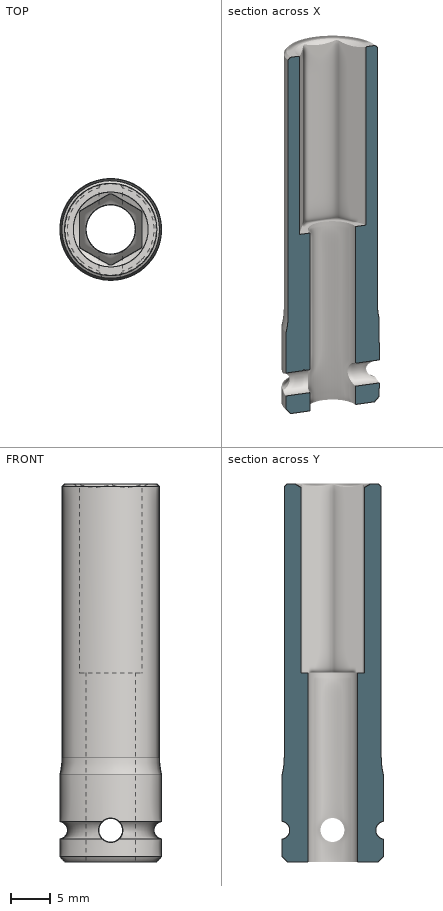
import cadquery as cq
import math

length = 48.0
base_radius = 6.455
barrel_radius = 6.2
base_top = 11.1
barrel_bottom = 13.3
bottom_chamfer = 0.65
top_chamfer = 0.35

groove_height = 4.05
groove_half_width = 1.1
groove_depth = 0.95
pin_hole_diameter = 3.0

bore_diameter = 6.25
hex_across_flats = 7.95
hex_corner_radius = 0.5
hex_depth = 24.0
lead_in_radius = 4.75
lead_in_angle = 30.0


def make_body():
    """Turned outside: base with a retaining groove, concave neck and barrel."""
    neck_height = barrel_bottom - base_top
    neck_step = base_radius - barrel_radius
    neck_arc_radius = (neck_height**2 + neck_step**2) / (2 * neck_step)
    half_angle = math.asin(neck_height / neck_arc_radius) / 2
    neck_middle = (
        barrel_radius + neck_arc_radius * (1 - math.cos(half_angle)),
        barrel_bottom - neck_arc_radius * math.sin(half_angle),
    )
    profile = (
        cq.Workplane("XZ")
        .lineTo(base_radius - bottom_chamfer, 0)
        .lineTo(base_radius, bottom_chamfer)
        .lineTo(base_radius, groove_height - groove_half_width)
        .threePointArc(
            (base_radius - groove_depth, groove_height),
            (base_radius, groove_height + groove_half_width),
        )
        .lineTo(base_radius, base_top)
        .threePointArc(neck_middle, (barrel_radius, barrel_bottom))
        .lineTo(barrel_radius, length - top_chamfer)
        .lineTo(barrel_radius - top_chamfer, length)
        .lineTo(0, length)
        .close()
    )
    return profile.revolve(360, (0, 0), (0, 1))


def make_hex_socket():
    """Hexagonal recess with rounded corners, two of them on the Y axis."""
    across_corners = hex_across_flats / math.cos(math.radians(30))
    return (
        cq.Workplane("XY", origin=(0, 0, length - hex_depth))
        .polygon(6, across_corners)
        .extrude(hex_depth)
        .edges("|Z")
        .fillet(hex_corner_radius)
        .rotate((0, 0, 0), (0, 0, 1), 30)
    )


def make_lead_in():
    """Conical countersink that opens the mouth of the hexagon."""
    cone_depth = lead_in_radius * math.tan(math.radians(lead_in_angle))
    return (
        cq.Workplane("XZ", origin=(0, 0, length))
        .lineTo(lead_in_radius, 0)
        .lineTo(0, -cone_depth)
        .close()
        .revolve(360, (0, 0), (0, 1))
    )


def make_bore():
    """Round bore along the whole axis."""
    return cq.Workplane("XY").circle(bore_diameter / 2).extrude(length)


def make_pin_hole():
    """Cross hole along Y, centred on the retaining groove."""
    return (
        cq.Workplane("XZ", origin=(0, 0, groove_height))
        .circle(pin_hole_diameter / 2)
        .extrude(base_radius, both=True)
    )


result = (
    make_body()
    .cut(make_bore())
    .cut(make_hex_socket())
    .cut(make_lead_in())
    .cut(make_pin_hole())
)